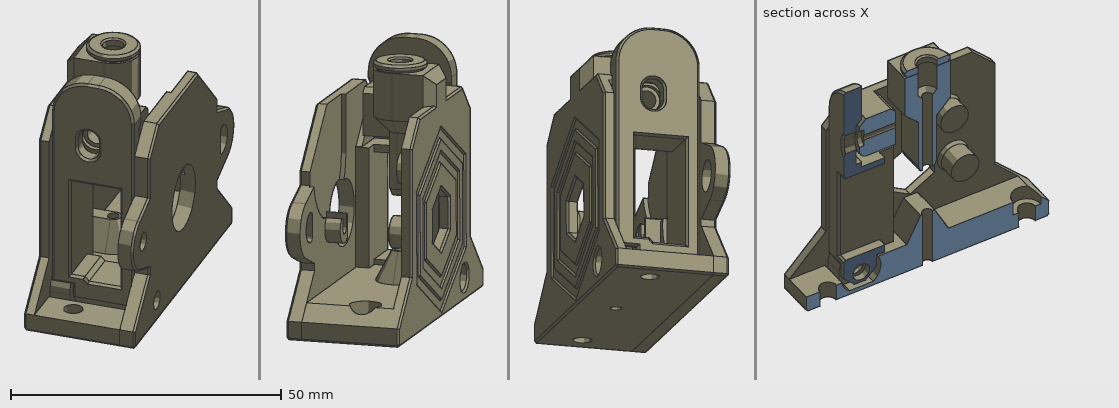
import cadquery as cq
import math

wall = 2.05
cover_x = 18.85
width = 21.85
edge = 0.4

base_half = 26.45
base_top = 3.6
floor_z = 6.6
plate_half = 18.4
plate_top = 40.85
corner = 4.95
cover_rear_corner = 10.55
screw_d = 3.5
screw_head_d = 6.0
base_hole_y = 21.65

path_x = 8.0
path_d = 2.15
tower_r = 5.0
tower_top = 46.85
nose_r = 2.01
tube_d = 4.0
tube_bottom = 41.25
nose_top = 34.85
nose_tip_r = 1.55
nose_tip_z = 22.95
nose_tip_h = 1.2
lower_guide_r = 4.55
lower_guide_top_r = 1.55
lower_guide_top = 12.3

block_front = -14.9
block_back = -7.0
block_bottom = 31.8
block_end = 17.4
block_rear_bevel = 1.05
block_round = 1.85
spring_x = 9.7
spring_z = 36.45
spring_seat_d = 5.0
spring_seat_depth = 1.0

pivot_y = -14.45
pivot_z = 4.35
groove_r = 4.25
groove_floor = 1.0
pivot_boss_r = 3.5
pivot_boss_end = 5.95
pivot_seat_d = 5.0
pivot_seat_depth = 4.95

hex_z = 18.6
hex_tilt = 0.8
groove_depth = 0.35
hex_grooves = [(17.8, 15.25), (13.25, 10.65)]
hex_hole_r = 6.05

shaft_y = 9.2
shaft_z = 17.9
shaft_boss_d = 6.0
shaft_boss_end = 6.45
upper_boss_y = 7.5
upper_boss_z = 29.7
upper_boss_end = 5.45
boss_flare = 0.8
boss_flare_r = 0.35
pocket_r = 10.05
pocket_y = 8.95
pocket_z = 29.7
pocket_floor = 19.75
window_d = 12.65
cradle_x = 15.9
cradle_d = 5.65
cradle_slot = 2.15
cradle_cut_y = 7.6
cradle_mouth_y = 11.0
cradle_mouth_z = 19.8
cradle_mouth_rise = 0.3

ear_y = 21.9
ear_z = 20.35
ear_r = 5.6
ear_root = 7.35
ear_head_depth = 2.0
slot_hole_d = 5.65
slot_hole_y = 20.9
slot_hole_flat = 19.85
slot_hole_round = 0.75

lever_left = 2.55
lever_right = 18.65
lever_front = -18.3
lever_back = -14.35
lever_top = 49.2
lever_round = 7.0
lever_edge = 0.45
lever_foot = 1.9
lever_foot_back = -11.1
notch_x = 6.65
notch_z = 6.75
notch_r = 3.75
frame_back = -9.35
arm_back = -6.25
gusset_left = 17.5
gusset_top = 38.5
frame_bottom = 6.9
frame_top = 29.7
relief_y = -15.5
relief_bottom = 30.8
relief_top = 41.1
slot_w = 4.2
slot_h = 5.95
window_left = 6.2
window_right = 15.95
window_bottom = 7.85
window_step = 8.7
window_step_x = 8.9
window_top = 28.25

collet_h = 1.55
collet_chamfer = 0.5
collet_mouth = 0.35


def box(x0, x1, y0, y1, z0, z1):
    return cq.Workplane("XY").box(x1 - x0, y1 - y0, z1 - z0, centered=False).translate((x0, y0, z0))


def x_cylinder(diameter, x0, x1, y, z):
    """Cylinder along X."""
    return cq.Workplane("YZ").workplane(offset=x0).center(y, z).circle(diameter / 2).extrude(x1 - x0)


def x_cone(d0, d1, x0, x1, y, z):
    """Cone along X, d0 wide at x0 and d1 wide at x1."""
    start = cq.Workplane("YZ").workplane(offset=x0).center(y, z).circle(d0 / 2)
    return start.workplane(offset=x1 - x0).circle(d1 / 2).loft(ruled=True)


def z_cylinder(diameter, x, y, z0, z1):
    """Cylinder along Z."""
    return cq.Workplane("XY").workplane(offset=z0).center(x, y).circle(diameter / 2).extrude(z1 - z0)


def x_prism(points, x0, x1):
    """Outline in Y and Z, extruded along X."""
    return cq.Workplane("YZ").workplane(offset=x0).polyline(points).close().extrude(x1 - x0)


def half_outline(cut):
    """Half outline of a plate with a wide foot, a 45 degree flank and a cut top corner."""
    return [
        (base_half - edge, 0),
        (base_half, edge),
        (base_half, base_top),
        (plate_half, base_top + base_half - plate_half),
        (plate_half, plate_top - cut),
        (plate_half - cut, plate_top),
    ]


def side_plate(x0, x1, rear_corner):
    front = [(-y, z) for y, z in reversed(half_outline(corner))]
    return x_prism(half_outline(rear_corner) + front, x0, x1)


def hexagon(radius, x):
    angles = [math.radians(90 - hex_tilt + 60 * i) for i in range(6)]
    points = [(radius * math.cos(a), hex_z + radius * math.sin(a)) for a in angles]
    return cq.Workplane("YZ").workplane(offset=x).polyline(points).close()


def hex_groove(outer_r, inner_r):
    """Hexagonal ring groove with 45 degree walls in the plate face."""
    outer = hexagon(outer_r, 0).extrude(groove_depth, taper=45)
    return outer.cut(hexagon(inner_r, 0).extrude(groove_depth, taper=-45))


def base():
    """Base block: raised floor with a 45 degree rear end, low foot in front, pivot groove."""
    profile = [
        (base_half - edge, 0),
        (base_half, edge),
        (base_half, base_top),
        (base_half - floor_z + base_top, floor_z),
        (pivot_y, floor_z),
        (pivot_y, base_top),
        (-base_half, base_top),
        (-base_half, edge),
        (-base_half + edge, 0),
    ]
    groove = x_cylinder(2 * groove_r, wall, cover_x, pivot_y, pivot_z)
    below_floor = box(wall, cover_x, -base_half, base_half, 0, groove_floor)
    return x_prism(profile, edge, cover_x).cut(groove.cut(below_floor))


def path_turning(profile):
    """Solid of revolution about the filament path from a (radius, z) profile."""
    flat = cq.Workplane("XZ").polyline(profile).close()
    return flat.revolve(360, (0, 0), (0, 1)).translate((path_x, 0, 0))


def guide(profile):
    """Filament guide: (radius, z) profile turned about the path and joined straight to the plate."""
    bottom, top = profile[0][1], profile[-1][1]
    turned = path_turning([(0, bottom)] + profile + [(0, top)])
    web = x_prism(profile + [(-y, z) for y, z in reversed(profile)], wall, path_x)
    return turned.union(web)


def upper_guide():
    nose_tip = [(nose_tip_r, nose_tip_z), (nose_r, nose_tip_z + nose_tip_h)]
    cone = [(nose_r, nose_top), (tower_r, nose_top + tower_r - nose_r)]
    shoulder_z = plate_top - edge
    shoulder = box(0, path_x, -tower_r, tower_r, shoulder_z, tower_top)
    shoulder = shoulder.faces("<X").edges("|Z or >Z").chamfer(wall)
    return guide(nose_tip + cone + [(tower_r, tower_top)]).union(shoulder)


def lower_guide():
    return guide([(lower_guide_r, floor_z), (lower_guide_top_r, lower_guide_top)])


def filament_bore():
    """Path through the whole housing, widened for the tube above a 45 degree cone."""
    cone_rise = (tube_d - path_d) / 2
    profile = [
        (0, 0),
        (path_d / 2, 0),
        (path_d / 2, tube_bottom - cone_rise),
        (tube_d / 2, tube_bottom),
        (tube_d / 2, tower_top),
        (0, tower_top),
    ]
    return path_turning(profile)


def spring_block():
    """Beam behind the lever that carries the spring screw; its front bevel continues the plate corner cut."""
    front_bevel = corner - plate_half - block_front
    beam = (
        cq.Workplane("YZ")
        .workplane(offset=edge)
        .moveTo(block_back, block_bottom)
        .lineTo(block_back, plate_top - block_rear_bevel)
        .lineTo(block_back - block_rear_bevel, plate_top)
        .lineTo(block_front + front_bevel, plate_top)
        .lineTo(block_front, plate_top - front_bevel)
        .lineTo(block_front, block_bottom + block_round)
        .radiusArc((block_front + block_round, block_bottom), -block_round)
        .close()
        .extrude(block_end - edge)
    )
    screw = cq.Workplane("XZ", origin=(spring_x, block_front, spring_z))
    hole = screw.circle(screw_d / 2).extrude(block_front - block_back)
    head = screw.circle(spring_seat_d / 2).extrude(-spring_seat_depth)
    return beam.cut(hole).cut(head)


def flared_boss(y, z, end):
    """Round boss on the inside of the side plate, flared at its foot."""
    boss = x_cylinder(shaft_boss_d, wall, end, y, z)
    return boss.union(x_cone(shaft_boss_d + 2 * boss_flare_r, shaft_boss_d, wall, wall + boss_flare, y, z))


def pivot_boss():
    round_part = x_cylinder(2 * pivot_boss_r, wall, pivot_boss_end, pivot_y, pivot_z)
    foot = box(wall, pivot_boss_end, pivot_y - pivot_boss_r, pivot_y + pivot_boss_r, edge, pivot_z)
    return round_part.union(foot)


def pivot_hole():
    """Pivot screw hole with a recessed, chamfered head seat."""
    seat = x_cylinder(pivot_seat_d, 0, pivot_seat_depth, pivot_y, pivot_z)
    mouth = x_cone(pivot_seat_d + 2 * edge, pivot_seat_d, 0, edge, pivot_y, pivot_z)
    return x_cylinder(screw_d, 0, pivot_boss_end, pivot_y, pivot_z).union(seat).union(mouth)


def make_housing():
    plate = side_plate(0, wall, corner).faces("<X").edges().chamfer(edge)
    for outer_r, inner_r in hex_grooves:
        plate = plate.cut(hex_groove(outer_r, inner_r))
    plate = plate.cut(hexagon(hex_hole_r, 0).extrude(wall))
    plate = plate.cut(hexagon(hex_hole_r + edge / math.cos(math.pi / 6), 0).extrude(edge, taper=45))
    body = plate.union(base())
    for part in [
        upper_guide(),
        lower_guide(),
        spring_block(),
        pivot_boss(),
        flared_boss(shaft_y, shaft_z, shaft_boss_end),
        flared_boss(upper_boss_y, upper_boss_z, upper_boss_end),
    ]:
        body = body.union(part)
    for y in (-base_hole_y, base_hole_y):
        body = body.cut(z_cylinder(screw_d, path_x, y, 0, floor_z))
    body = body.cut(z_cylinder(screw_head_d, path_x, base_hole_y, base_top, floor_z))
    return body.cut(filament_bore()).cut(pivot_hole())


def ear(side):
    """Round mounting ear with straight flanks tangent to its end."""
    root_dy = plate_half - ear_y
    reach = math.hypot(root_dy, ear_root)
    tangent = math.atan2(ear_root, root_dy) - math.acos(ear_r / reach)
    tip_y = ear_y + ear_r * math.cos(tangent)
    tip_dz = ear_r * math.sin(tangent)
    return (
        cq.Workplane("YZ")
        .workplane(offset=cover_x)
        .moveTo(0, ear_z - ear_root)
        .lineTo(side * plate_half, ear_z - ear_root)
        .lineTo(side * tip_y, ear_z - tip_dz)
        .threePointArc((side * (ear_y + ear_r), ear_z), (side * tip_y, ear_z + tip_dz))
        .lineTo(side * plate_half, ear_z + ear_root)
        .lineTo(0, ear_z + ear_root)
        .close()
        .extrude(width - cover_x)
    )


def gear_pocket():
    """Recess in the inner face, round below and open at the top."""
    round_part = x_cylinder(2 * pocket_r, cover_x, pocket_floor, pocket_y, pocket_z)
    return round_part.union(
        box(cover_x, pocket_floor, pocket_y - pocket_r, pocket_y + pocket_r, pocket_z, plate_top)
    )


def shaft_cradle():
    """Boss around the shaft end, with a flat on its front side."""
    boss = x_cylinder(cradle_d, cradle_x, pocket_floor, shaft_y, shaft_z)
    low, high = shaft_z - cradle_d, shaft_z + cradle_d
    return boss.cut(box(cradle_x, pocket_floor, shaft_y - cradle_d, cradle_cut_y, low, high))


def cradle_slot_cutter():
    """Round shaft seat, open at the top and flared towards the rear."""
    seat = x_cylinder(cradle_slot, cradle_x, pocket_floor, shaft_y, shaft_z)
    front, rear = shaft_y - cradle_slot / 2, shaft_y + cradle_slot / 2
    top = shaft_z + cradle_d / 2
    mouth = [
        (front, shaft_z),
        (rear, shaft_z),
        (rear, cradle_mouth_z),
        (cradle_mouth_y, cradle_mouth_z + cradle_mouth_rise),
        (cradle_mouth_y, top),
        (front, top),
    ]
    return seat.union(x_prism(mouth, cradle_x, pocket_floor))


def flat_sided_hole():
    """Round hole of the rear ear, closed by a flat on its inner side."""
    hole = x_cylinder(slot_hole_d, cover_x, width, slot_hole_y, ear_z)
    inner = box(cover_x, width, 0, slot_hole_flat, ear_z - slot_hole_d, ear_z + slot_hole_d)
    return hole.cut(inner).edges("|X").fillet(slot_hole_round)


def make_cover():
    cover = side_plate(cover_x, width, cover_rear_corner).union(ear(1)).union(ear(-1)).clean()
    cover = cover.faces(">X").edges().chamfer(edge)
    cover = cover.cut(gear_pocket())
    cover = cover.cut(x_cylinder(window_d, cover_x, width, 0, hex_z))
    cover = cover.union(shaft_cradle()).cut(cradle_slot_cutter())
    cover = cover.cut(x_cylinder(screw_d, cover_x, width, pivot_y, pivot_z))
    cover = cover.cut(x_cylinder(screw_d, cover_x, width, -ear_y, ear_z))
    cover = cover.cut(x_cylinder(screw_head_d, cover_x, cover_x + ear_head_depth, -ear_y, ear_z))
    return cover.cut(flat_sided_hole())


def paddle_outline():
    """Front outline of the lever: round top corners and a notch over the pivot boss."""
    shoulder = lever_top - lever_round
    return (
        cq.Workplane("XZ", origin=(0, lever_front, 0))
        .moveTo(notch_x, pivot_z - lever_edge)
        .lineTo(lever_right, pivot_z - lever_edge)
        .lineTo(lever_right, shoulder)
        .radiusArc((lever_right - lever_round, lever_top), -lever_round)
        .lineTo(lever_left + lever_round, lever_top)
        .radiusArc((lever_left, shoulder), -lever_round)
        .lineTo(lever_left, notch_z)
        .lineTo(notch_x, notch_z)
        .close()
    )


def window_cutter():
    """Window through the lever, with a raised step on the pivot boss side."""
    step = window_step - window_bottom
    return (
        cq.Workplane("XZ", origin=(0, lever_front, 0))
        .moveTo(window_left, window_step)
        .lineTo(window_step_x, window_step)
        .lineTo(window_step_x + step, window_bottom)
        .lineTo(window_right, window_bottom)
        .lineTo(window_right, window_top)
        .lineTo(window_left, window_top)
        .close()
        .extrude(lever_front - arm_back)
    )


def spring_slot():
    return (
        cq.Workplane("XZ", origin=(spring_x, lever_front, spring_z))
        .slot2D(slot_h, slot_w, 90)
        .extrude(lever_front - lever_back)
    )


def back_relief():
    """Recess in the back of the lever that clears the spring block, bevelled 45 degrees at its top."""
    depth = lever_back - relief_y
    profile = [
        (relief_y, relief_bottom),
        (lever_back, relief_bottom),
        (lever_back, relief_top),
        (relief_y, relief_top - depth),
    ]
    return x_prism(profile, lever_left, lever_right)


def lever_foot_body():
    """Bevelled foot that turns in the pivot groove."""
    bevel = pivot_z - lever_foot
    profile = [
        (lever_front + lever_edge, pivot_z - lever_edge),
        (lever_front + bevel, lever_foot),
        (lever_foot_back - bevel, lever_foot),
        (lever_foot_back, pivot_z),
        (lever_foot_back, window_bottom),
        (lever_back, window_bottom),
        (lever_back, pivot_z - lever_edge),
    ]
    return x_prism(profile, notch_x, lever_right)


def side_frame():
    """Frame behind the paddle: floor, roof and two longer side arms."""
    frame = box(lever_left, lever_right, lever_back, arm_back, frame_bottom, frame_top)
    gap = box(window_left, window_right, frame_back, arm_back, frame_bottom, frame_top)
    return frame.cut(window_cutter()).cut(gap)


def gusset():
    """45 degree brace from the paddle down to the right side arm."""
    end_y = relief_y + gusset_top - frame_top
    profile = [(relief_y, frame_top), (end_y, frame_top), (relief_y, gusset_top)]
    return x_prism(profile, gusset_left, lever_right)


def make_lever():
    paddle = paddle_outline().extrude(lever_front - lever_back)
    paddle = paddle.cut(window_cutter()).cut(spring_slot())
    paddle = paddle.faces("<Y").edges().chamfer(lever_edge)
    lever = paddle.cut(back_relief()).union(side_frame()).union(gusset()).union(lever_foot_body())
    lever = lever.cut(x_cylinder(2 * notch_r, lever_left, notch_x, pivot_y, pivot_z))
    return lever.cut(x_cylinder(screw_d, notch_x, lever_right, pivot_y, pivot_z))


def make_collet():
    """Disc on top of the tower with a chamfered tube hole."""
    disc = z_cylinder(2 * tower_r, path_x, 0, tower_top, tower_top + collet_h)
    disc = disc.edges().chamfer(collet_chamfer)
    disc = disc.cut(z_cylinder(tube_d, path_x, 0, tower_top, tower_top + collet_h))
    return disc.faces(">Z").edges(cq.selectors.RadiusNthSelector(0)).chamfer(collet_mouth)


housing = make_housing()
cover = make_cover()
lever = make_lever()
collet = make_collet()

bodies = [housing, cover, lever, collet]
result = cq.Compound.makeCompound([body.solids().val() for body in bodies])